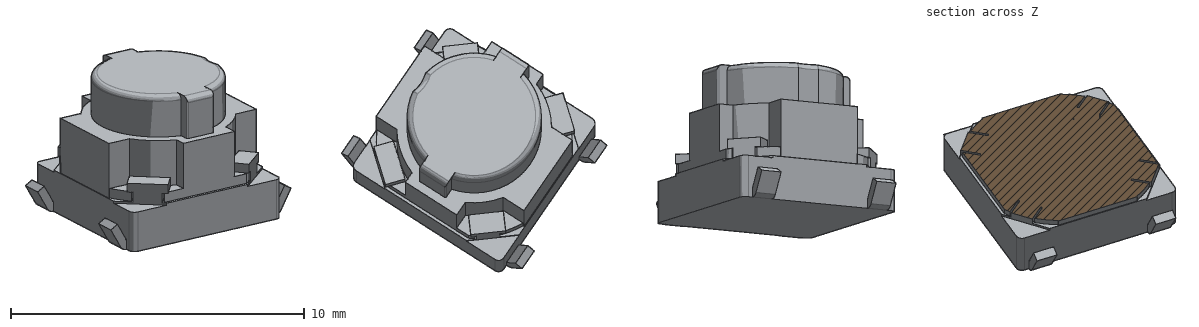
import cadquery as cq
import math

base_length_x = 6.0
base_length_y = 6.11
base_height = 1.51
base_corner_radius = 0.215
corner_step_depth = 0.075

body_length_x = 5.79
body_length_y = 6.05
body_top = 3.5
notch_radius = 2.64
ledge_radius = 3.345
notch_edge_x = 1.495
notch_edge_y_small = 0.9
notch_edge_y_large = 1.2

button_radius = 2.295
button_top = 5.0
button_fillet = 0.2
button_overlap = 0.075
ear_span = 5.195
ear_width = 1.1
ear_edge_radius = 0.05
scallop_radius = 1.2
scallop_depth = 0.095

clip_angle = 50.0
clip_face_distance = 3.37
clip_depth = 0.7
clip_head_bottom = 1.86
clip_head_top = 2.18
clip_half_width = 0.7
clip_short_half_width = 0.495
clip_stem_inset = 0.2
clip_stem_clearance = 0.05

lead_spacing = 4.49
lead_width = 0.755
lead_thickness = 0.31
lead_angle = 60.0
lead_bend_radius = 0.25
lead_tip_y = 3.7
lead_tip_z = 0.835
lead_overlap = 0.075

step_level = base_height - corner_step_depth
corners = [(-1, -1), (1, -1), (1, 1), (-1, 1)]


def block(x_range, y_range, z_range):
    """Axis-aligned box between the given limits."""
    (x0, x1), (y0, y1), (z0, z1) = x_range, y_range, z_range
    return cq.Workplane("XY").box(x1 - x0, y1 - y0, z1 - z0, centered=False).translate((x0, y0, z0))


def cylinder(radius, bottom, top):
    """Cylinder on the Z axis."""
    return cq.Workplane("XY").workplane(offset=bottom).circle(radius).extrude(top - bottom)


def clip_block(corner, t_range, n_range, z_range):
    """Box in a corner's clip frame: t runs along its face toward X = 0, n points outward."""
    x_sign, y_sign = corner
    handedness = x_sign * y_sign
    t0, t1 = sorted(-handedness * t for t in t_range)
    turn = -handedness * clip_angle if y_sign > 0 else 180 - handedness * clip_angle
    return block((t0, t1), n_range, z_range).rotate((0, 0, 0), (0, 0, 1), turn)


def clip_limits(corner):
    """Both ends of the clip head along its face."""
    x_sign, y_sign = corner
    if x_sign == y_sign:
        return -clip_short_half_width, clip_half_width
    return -clip_half_width, clip_half_width


def make_base():
    base = cq.Workplane("XY").box(base_length_x, base_length_y, base_height, centered=(True, True, False))
    base = base.edges("|Z").fillet(base_corner_radius)
    for corner in corners:
        step = clip_block(
            corner,
            (-base_length_x, base_length_x),
            (clip_face_distance, base_length_y),
            (step_level, base_height),
        )
        base = base.cut(step)
    return base


def make_body():
    half_x = body_length_x / 2
    half_y = body_length_y / 2
    lower = block((-half_x, half_x), (-half_y, half_y), (step_level, clip_head_bottom))
    middle = block((-notch_edge_x, notch_edge_x), (-half_y, half_y), (step_level, clip_head_bottom))
    lower = lower.intersect(cylinder(ledge_radius, step_level, clip_head_bottom)).union(middle)
    upper = block((-half_x, half_x), (-half_y, half_y), (clip_head_bottom, body_top))
    for x_sign, y_sign in corners:
        notch_edge_y = notch_edge_y_large if x_sign == y_sign else notch_edge_y_small
        x_range = sorted((x_sign * notch_edge_x, x_sign * half_x))
        y_range = sorted((y_sign * notch_edge_y, y_sign * half_y))
        notch = block(x_range, y_range, (clip_head_bottom, body_top))
        upper = upper.cut(notch.cut(cylinder(notch_radius, clip_head_bottom, body_top)))
    return lower.union(upper)


def make_button():
    scallop_y = button_radius - scallop_depth + scallop_radius
    knob = cylinder(button_radius, body_top - button_overlap, button_top)
    knob = knob.cut(cylinder(scallop_radius, 0, button_top).translate((0, scallop_y, 0)))
    knob = knob.faces(">Z").edges().fillet(button_fillet)
    ears = cq.Workplane("XY").workplane(offset=body_top - button_overlap)
    ears = ears.rect(ear_span, ear_width).extrude(button_top - body_top + button_overlap)
    ears = ears.edges("|Z").fillet(ear_edge_radius)
    rounded = cq.Workplane("XY").box(ear_span, ear_span, button_top, centered=(True, True, False))
    rounded = rounded.faces(">Z").edges("|Y").fillet(button_fillet)
    return knob.union(ears.intersect(rounded))


def stem_limits(corner):
    """Both ends of the clip stem along the clip face."""
    t0, t1 = clip_limits(corner)
    return t0 + clip_stem_inset, t1 - clip_stem_inset


def make_stem_slot(corner):
    t0, t1 = stem_limits(corner)
    t_range = (t0 - clip_stem_clearance, t1 + clip_stem_clearance)
    n_range = (clip_face_distance - clip_depth, clip_face_distance)
    return clip_block(corner, t_range, n_range, (base_height, clip_head_bottom))


def make_clip(corner):
    n_range = (clip_face_distance - clip_depth, clip_face_distance)
    head = clip_block(corner, clip_limits(corner), n_range, (clip_head_bottom, clip_head_top))
    stem = clip_block(corner, stem_limits(corner), n_range, (step_level, clip_head_bottom))
    return head.union(stem)


def make_lead(x, y_sign):
    angle = math.radians(lead_angle)
    bend_corner_y = lead_tip_y - lead_tip_z / math.tan(angle)
    bend_length = lead_bend_radius * math.tan(angle / 2)
    buried_y = base_length_y / 2 - lead_overlap
    inner_tip_y = lead_tip_y - lead_thickness * math.sin(angle)
    inner_tip_z = lead_tip_z + lead_thickness * math.cos(angle)
    bend_start_y = bend_corner_y - bend_length
    bend_middle = (
        bend_start_y + lead_bend_radius * math.sin(angle / 2),
        lead_bend_radius * (1 - math.cos(angle / 2)),
    )
    bend_end = (bend_corner_y + bend_length * math.cos(angle), bend_length * math.sin(angle))
    lead = (
        cq.Workplane("YZ")
        .moveTo(buried_y, 0)
        .lineTo(bend_start_y, 0)
        .threePointArc(bend_middle, bend_end)
        .lineTo(lead_tip_y, lead_tip_z)
        .lineTo(inner_tip_y, inner_tip_z)
        .lineTo(buried_y, inner_tip_z - (inner_tip_y - buried_y) * math.tan(angle))
        .close()
        .extrude(lead_width / 2, both=True)
    )
    if y_sign < 0:
        lead = lead.mirror("XZ")
    return lead.translate((x, 0, 0))


result = make_base().union(make_body()).union(make_button())
for corner in corners:
    x_sign, y_sign = corner
    result = result.cut(make_stem_slot(corner))
    result = result.union(make_clip(corner))
    result = result.union(make_lead(x_sign * lead_spacing / 2, y_sign))